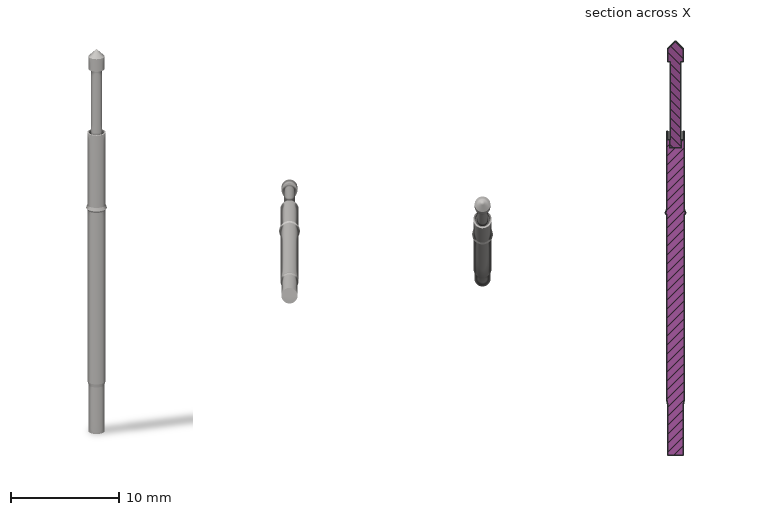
import cadquery as cq

total_length = 38.35

barrel_diameter = 1.7
barrel_top = 30.0
barrel_bottom = 5.02

tail_diameter = 1.5
neck_diameter = 1.6
neck_length = 0.35
neck_bottom = barrel_bottom - neck_length

ring_diameter = 1.9
ring_rim = 22.45
ring_upper_slope = 0.3
ring_lower_slope = 0.2

bore_diameter = 1.38
bore_depth = 0.75
socket_depth = 0.75
bore_floor = barrel_top - bore_depth
socket_floor = bore_floor - socket_depth

shaft_diameter = 1.0
head_diameter = 1.45
head_bottom = 36.35
tip_height = head_diameter / 2


def cylinder(diameter, bottom, top):
    """Upright cylinder on the Z axis between two heights."""
    return cq.Workplane("XY").workplane(offset=bottom).circle(diameter / 2).extrude(top - bottom)


def revolved(outline):
    """Solid of revolution about the Z axis from (radius, height) points."""
    return cq.Workplane("XZ").polyline(outline).close().revolve(360, (0, 0), (0, 1))


def make_press_ring():
    """Ring with a long upper slope and a short lower slope meeting at a sharp rim."""
    ring_top = ring_rim + ring_upper_slope
    ring_bottom = ring_rim - ring_lower_slope
    return revolved([
        (0, ring_bottom),
        (barrel_diameter / 2, ring_bottom),
        (ring_diameter / 2, ring_rim),
        (barrel_diameter / 2, ring_top),
        (0, ring_top),
    ])


def make_neck():
    """Cone that narrows from below the barrel shoulder down to the tail."""
    return revolved([
        (0, neck_bottom),
        (tail_diameter / 2, neck_bottom),
        (neck_diameter / 2, barrel_bottom),
        (0, barrel_bottom),
    ])


def make_barrel():
    """Barrel, press ring, neck and tail, opened at the top for the plunger."""
    body = cylinder(barrel_diameter, barrel_bottom, barrel_top)
    body = body.union(make_press_ring())
    body = body.union(make_neck())
    body = body.union(cylinder(tail_diameter, 0, neck_bottom))
    body = body.cut(cylinder(bore_diameter, bore_floor, barrel_top))
    return body.cut(cylinder(shaft_diameter, socket_floor, bore_floor))


def make_plunger():
    """Shaft seated in the socket, carrying a head with a conical point."""
    cone_base = total_length - tip_height
    point = revolved([(0, cone_base), (head_diameter / 2, cone_base), (0, total_length)])
    shaft = cylinder(shaft_diameter, socket_floor, head_bottom)
    return shaft.union(cylinder(head_diameter, head_bottom, cone_base)).union(point)


barrel = make_barrel()
plunger = make_plunger()

result = cq.Compound.makeCompound([barrel.val(), plunger.val()])